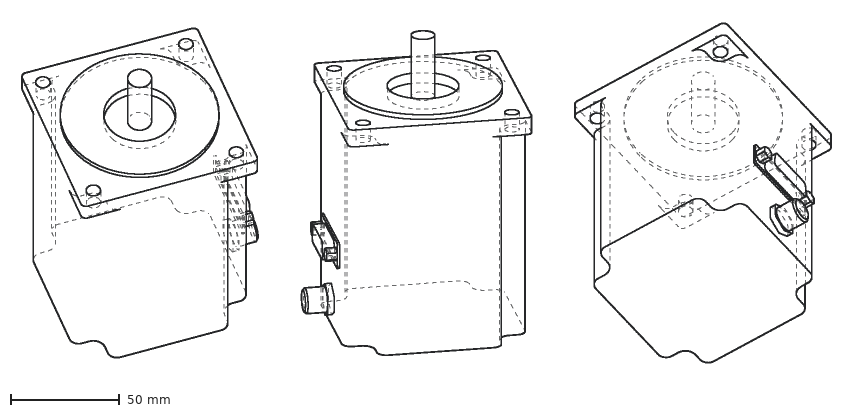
import cadquery as cq
import math


frame_width = 85.8
half_width = frame_width / 2
body_height = 104.0
flange_thickness = 8.3
flange_corner_radius = 2.5
pilot_diameter = 73.0
pilot_height = 2.3
pilot_recess_diameter = 33.0
pilot_recess_depth = 5.0

mounting_hole_offset = 34.8
mounting_hole_diameter = 6.6
channel_radius = 5.7
channel_wall = mounting_hole_offset - channel_radius
channel_lip_radius = 4.5

shaft_diameter = 11.0
shaft_projection = 25.0

flange_top = body_height + flange_thickness
pilot_top = flange_top + pilot_height

round_connector_z = 12.6
round_connector_diameter = 12.0
round_connector_length = 13.0
round_connector_chamfer = 1.0
nut_across_flats = 13.7
nut_thickness = 2.9
nut_edge_radius = 1.6

d_connector_z = 41.3
d_plate_width = 40.0
d_plate_height = 12.5
d_plate_thickness = 1.0
d_plate_corner_radius = 1.1
d_shell_width = 25.25
d_shell_height = 9.3
d_shell_side_angle = 8.4
d_shell_corner_radius = 1.8
d_shell_projection = 6.5
standoff_spacing = 33.3
standoff_across_flats = 5.7
standoff_projection = 5.9


def back_face_plane(height):
    """Sketch plane on the back face: local x is -X, local y is +Z, normal is +Y."""
    return cq.Plane(origin=(0, half_width, height), xDir=(-1, 0, 0), normal=(0, 1, 0))


def hexagon(plane, across_flats, length, center_x=0):
    """Hexagonal prism standing on a plane, with two corners on its vertical centre line."""
    across_corners = across_flats / math.cos(math.radians(30))
    return (
        cq.Workplane(plane)
        .center(center_x, 0)
        .transformed(rotate=(0, 0, 90))
        .polygon(6, across_corners)
        .extrude(length)
    )


def corner_channel():
    """Cutter for the channel along the +X +Y corner, including its rounded lips."""
    lip_start = channel_wall - channel_lip_radius
    lip_end = half_width - channel_lip_radius
    lip_mid = channel_lip_radius * math.sin(math.radians(45))
    channel_mid = mounting_hole_offset - channel_radius * math.sin(math.radians(45))
    return (
        cq.Workplane("XY")
        .moveTo(lip_start, half_width)
        .threePointArc((lip_start + lip_mid, lip_end + lip_mid), (channel_wall, lip_end))
        .lineTo(channel_wall, mounting_hole_offset)
        .threePointArc((channel_mid, channel_mid), (mounting_hole_offset, channel_wall))
        .lineTo(lip_end, channel_wall)
        .threePointArc((lip_end + lip_mid, lip_start + lip_mid), (half_width, lip_start))
        .lineTo(half_width, half_width)
        .close()
        .extrude(body_height)
    )


def motor_body():
    body = cq.Workplane("XY").rect(frame_width, frame_width).extrude(body_height)
    channel = corner_channel()
    for quarter_turn in range(4):
        body = body.cut(channel.rotate((0, 0, 0), (0, 0, 1), 90 * quarter_turn))
    return body


def flange_and_pilot():
    flange = (
        cq.Workplane("XY", origin=(0, 0, body_height))
        .rect(frame_width, frame_width)
        .extrude(flange_thickness)
        .edges("|Z")
        .fillet(flange_corner_radius)
    )
    mounting_holes = (
        cq.Workplane("XY", origin=(0, 0, body_height))
        .rect(2 * mounting_hole_offset, 2 * mounting_hole_offset, forConstruction=True)
        .vertices()
        .circle(mounting_hole_diameter / 2)
        .extrude(flange_thickness)
    )
    pilot = cq.Workplane("XY", origin=(0, 0, flange_top)).circle(pilot_diameter / 2).extrude(pilot_height)
    recess = (
        cq.Workplane("XY", origin=(0, 0, pilot_top))
        .circle(pilot_recess_diameter / 2)
        .extrude(-pilot_recess_depth)
    )
    return flange.cut(mounting_holes).union(pilot).cut(recess)


def output_shaft():
    return (
        cq.Workplane("XY", origin=(0, 0, pilot_top - pilot_recess_depth))
        .circle(shaft_diameter / 2)
        .extrude(pilot_recess_depth + shaft_projection)
    )


def round_connector():
    plane = back_face_plane(round_connector_z)
    nut = hexagon(plane, nut_across_flats, nut_thickness).edges("|Y").fillet(nut_edge_radius)
    barrel = (
        cq.Workplane(plane)
        .circle(round_connector_diameter / 2)
        .extrude(round_connector_length)
        .faces(">Y")
        .chamfer(round_connector_chamfer)
    )
    return nut.union(barrel)


def d_connector():
    plane = back_face_plane(d_connector_z)
    plate = (
        cq.Workplane(plane)
        .rect(d_plate_width, d_plate_height)
        .extrude(d_plate_thickness)
        .edges("|Y")
        .fillet(d_plate_corner_radius)
    )
    side_angle = math.radians(d_shell_side_angle)
    corner_center_x = d_shell_width / 2 - d_shell_corner_radius
    corner_overhang = d_shell_corner_radius * (1 / math.cos(side_angle) + math.tan(side_angle))
    bottom_half = corner_center_x + corner_overhang
    top_half = bottom_half - d_shell_height * math.tan(side_angle)
    half_height = d_shell_height / 2
    shell = (
        cq.Workplane(plane)
        .moveTo(-bottom_half, -half_height)
        .lineTo(bottom_half, -half_height)
        .lineTo(top_half, half_height)
        .lineTo(-top_half, half_height)
        .close()
        .extrude(d_shell_projection)
        .edges("|Y")
        .fillet(d_shell_corner_radius)
    )
    connector = plate.union(shell)
    for side in (-1, 1):
        standoff_x = side * standoff_spacing / 2
        connector = connector.union(
            hexagon(plane, standoff_across_flats, standoff_projection, standoff_x)
        )
    return connector


result = (
    motor_body()
    .union(flange_and_pilot())
    .union(output_shaft())
    .union(round_connector())
    .union(d_connector())
    .clean()
)